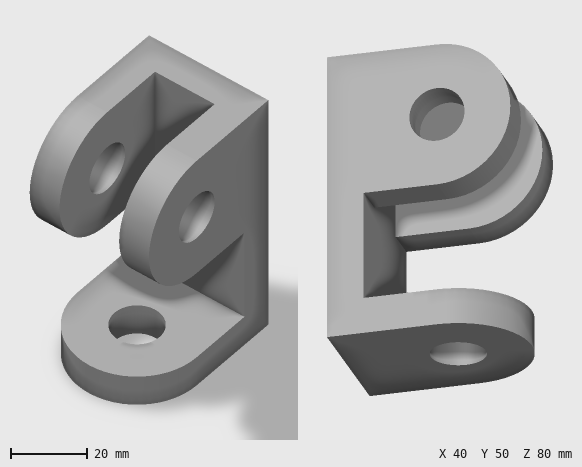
import cadquery as cq

width = 40.0
height = 80.0
thickness = 10.0
hole_diameter = 15.0
back_to_hole = 30.0

end_radius = width / 2
ear_center_z = height - end_radius
ear_inner_x = width / 2 - thickness


def rounded_lug(plane):
    """Drilled lug with its hole axis at the plane origin and its round end toward local -Y."""
    return (
        cq.Workplane(plane)
        .moveTo(-end_radius, back_to_hole)
        .lineTo(-end_radius, 0)
        .threePointArc((0, -end_radius), (end_radius, 0))
        .lineTo(end_radius, back_to_hole)
        .close()
        .moveTo(0, 0)
        .circle(hole_diameter / 2)
        .extrude(thickness)
    )


def ear(inner_x):
    """Upright lug that starts at inner_x and thickens toward +X."""
    plane = cq.Plane(origin=(inner_x, 0, ear_center_z), xDir=(0, 0, -1), normal=(1, 0, 0))
    return rounded_lug(plane)


back_plate = cq.Workplane("XY").box(width, thickness, height, centered=(True, False, False))
back_plate = back_plate.translate((0, back_to_hole - thickness, 0))

base = rounded_lug(cq.Plane.XY())
result = back_plate.union(base)
for inner_x in (-width / 2, ear_inner_x):
    result = result.union(ear(inner_x))